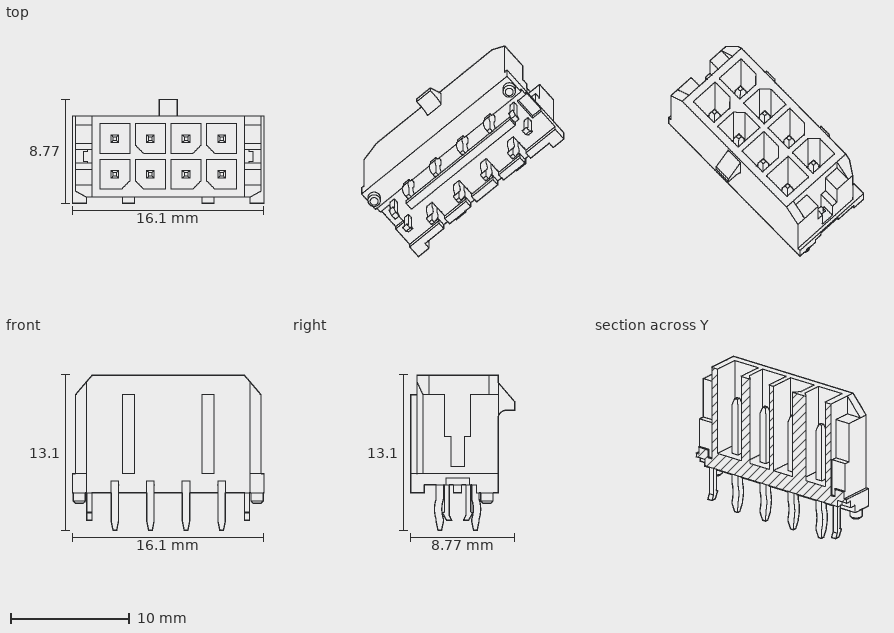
import cadquery as cq


COLUMNS = 4
PITCH = 3.0
COLUMN_X = [(i - (COLUMNS - 1) / 2) * PITCH for i in range(COLUMNS)]
REAR_ROW_Y = PITCH / 2
FRONT_ROW_Y = -PITCH / 2

OVERALL_HEIGHT = 13.09
HOUSING_HEIGHT = 9.92
HOUSING_BACK_Y = 3.43
HOUSING_FRONT_Y = -HOUSING_BACK_Y
HOUSING_HALF_LENGTH = 7.82
SHOULDER_Z = 8.28
TOP_HALF_LENGTH = 6.42
BEVEL_X = 0.93
BEVEL_Y = 0.51

OVERALL_LENGTH = 16.15
FLANGE_HALF_LENGTH = OVERALL_LENGTH / 2
FLANGE_FRONT_Y = -3.95
FLANGE_INNER_X = HOUSING_HALF_LENGTH - BEVEL_X
FLANGE_HEIGHT = 1.61

END_SLOT_STEPS = [
    (-2.40, 2.64, SHOULDER_Z),
    (-1.09, 1.08, 4.77),
    (-0.57, 0.57, 2.24),
]
CLIP_WINDOW_OUTER_X = 7.13
CLIP_WINDOW_STEP_X = 6.79
CLIP_WINDOW_HALF_WIDTH = 0.42
CLIP_WINDOW_DEPTH = 0.7

CAVITY_SIZE = 2.52
CAVITY_FLOOR_Z = 2.2
CAVITY_CHAMFER = 0.70
REAR_KEYS = [0, -1, 1, -1]
FRONT_KEYS = [1, -1, 1, -1]

UNDERCUT_FRONT_Y = -2.80
UNDERCUT_BACK_Y = 1.61
UNDERCUT_HEIGHT = 0.67
CENTRE_RIB_WIDTH = 0.69
TAIL_SLOT_HEIGHT = 0.99

RIB_WIDTH = 1.05
RIB_X = 3.35
RIB_TOP_Z = SHOULDER_Z

LATCH_WIDTH = 1.52
LATCH_TIP_Y = 4.82
LATCH_TOP_Z = 9.30
LATCH_TIP_TOP_Z = 7.68
LATCH_TIP_BOTTOM_Z = 6.96
LATCH_CURVE_START_Y = 4.12
LATCH_CURVE_MID = (3.74, 6.84)
LATCH_ROOT_Z = 6.42

PEG_X = 7.50
PEG_Y = 2.47
PEG_DIAMETER = 1.05
PEG_LENGTH = 0.88
PEG_CHAMFER = 0.19

PIN_SIZE = 0.64
PIN_TOP_Z = 7.2
PIN_TIP_LENGTH = 0.6
PIN_TIP_SIZE = 0.30
TAIL_END_Z = HOUSING_HEIGHT - OVERALL_HEIGHT
TAIL_TAPER_Z = -2.39
TAIL_TIP_SIZE = 0.32
KINK_TOP_Z = -0.52
KINK_BOTTOM_Z = -2.23
KINK_OFFSET = 0.14

CLIP_X = 6.64
CLIP_THICKNESS = 0.46
CLIP_OUTER_Y = 1.12
CLIP_INNER_Y = 0.70
CLIP_BRIDGE_TOP_Z = 1.25
BARB_TOP_Z = -1.60
BARB_OUTER_Y = 1.28
BARB_CORNER_Z = -1.70
BARB_INNER_Z = -1.88
CLIP_END_Z = -2.33
CLIP_END_OUTER_Y = 0.93
CLIP_END_INNER_Y = 0.48
CLIP_RECESS_HALF_WIDTH = 0.99
CLIP_RECESS_INNER_X = 7.13


def box(x0, x1, y0, y1, z0, z1):
    """Box between two opposite corners."""
    return cq.Workplane("XY").box(x1 - x0, y1 - y0, z1 - z0, centered=False).translate((x0, y0, z0))


def both_ends(solid):
    """The solid together with its mirror image about X = 0."""
    return solid.union(solid.mirror("YZ"))


def extruded_in_x(outline, x_centre, width):
    """YZ outline extruded symmetrically about x_centre."""
    return outline.extrude(width / 2, both=True).translate((x_centre, 0, 0))


def square_frustum(x, y, z_base, base_size, z_end, end_size):
    """Square pyramid frustum from z_base to z_end."""
    return (
        cq.Workplane("XY", origin=(x, y, z_base))
        .rect(base_size, base_size)
        .workplane(offset=z_end - z_base)
        .rect(end_size, end_size)
        .loft(ruled=True)
    )


def make_shell():
    """Solid housing block with sloped ends and bevelled front corners."""
    end_profile = (
        cq.Workplane("XZ")
        .moveTo(-HOUSING_HALF_LENGTH, 0)
        .lineTo(HOUSING_HALF_LENGTH, 0)
        .lineTo(HOUSING_HALF_LENGTH, SHOULDER_Z)
        .lineTo(TOP_HALF_LENGTH, HOUSING_HEIGHT)
        .lineTo(-TOP_HALF_LENGTH, HOUSING_HEIGHT)
        .lineTo(-HOUSING_HALF_LENGTH, SHOULDER_Z)
        .close()
        .extrude(HOUSING_BACK_Y, both=True)
    )
    bevel_y = HOUSING_FRONT_Y + BEVEL_Y
    footprint = (
        cq.Workplane("XY")
        .moveTo(-HOUSING_HALF_LENGTH, HOUSING_BACK_Y)
        .lineTo(HOUSING_HALF_LENGTH, HOUSING_BACK_Y)
        .lineTo(HOUSING_HALF_LENGTH, bevel_y)
        .lineTo(HOUSING_HALF_LENGTH - BEVEL_X, HOUSING_FRONT_Y)
        .lineTo(BEVEL_X - HOUSING_HALF_LENGTH, HOUSING_FRONT_Y)
        .lineTo(-HOUSING_HALF_LENGTH, bevel_y)
        .close()
        .extrude(HOUSING_HEIGHT)
    )
    return end_profile.intersect(footprint)


def make_flange():
    return both_ends(
        box(FLANGE_INNER_X, FLANGE_HALF_LENGTH, FLANGE_FRONT_Y, HOUSING_BACK_Y, 0, FLANGE_HEIGHT)
    )


def make_end_slots():
    """Stepped slot in each end wall, with the clip window in its floor."""
    slot = cq.Workplane("XY")
    for front_y, back_y, floor_z in END_SLOT_STEPS:
        slot = slot.union(box(TOP_HALF_LENGTH, FLANGE_HALF_LENGTH, front_y, back_y, floor_z, HOUSING_HEIGHT))
    front_y, back_y, slot_floor_z = END_SLOT_STEPS[-1]
    window_floor_z = slot_floor_z - CLIP_WINDOW_DEPTH
    wide_window = box(TOP_HALF_LENGTH, CLIP_WINDOW_STEP_X, front_y, back_y, window_floor_z, slot_floor_z)
    narrow_window = box(
        TOP_HALF_LENGTH, CLIP_WINDOW_OUTER_X,
        -CLIP_WINDOW_HALF_WIDTH, CLIP_WINDOW_HALF_WIDTH,
        window_floor_z, slot_floor_z,
    )
    return both_ends(slot.union(wide_window).union(narrow_window))


def make_cavity(x, y, key_side):
    """Square contact cavity, with one front corner chamfered when keyed."""
    half = CAVITY_SIZE / 2
    depth = HOUSING_HEIGHT - CAVITY_FLOOR_Z
    cavity = cq.Workplane("XY", origin=(x, y, CAVITY_FLOOR_Z)).rect(CAVITY_SIZE, CAVITY_SIZE).extrude(depth)
    if key_side == 0:
        return cavity
    corner = (
        cq.Workplane("XY", origin=(x + key_side * half, y - half, CAVITY_FLOOR_Z))
        .lineTo(-key_side * CAVITY_CHAMFER, 0)
        .lineTo(0, CAVITY_CHAMFER)
        .close()
        .extrude(depth)
    )
    return cavity.cut(corner)


def make_undercut():
    """Relief under the housing that leaves a central rib standing."""
    undercut = box(
        -FLANGE_HALF_LENGTH, FLANGE_HALF_LENGTH, UNDERCUT_FRONT_Y, UNDERCUT_BACK_Y, 0, UNDERCUT_HEIGHT
    )
    rib_half_length = COLUMN_X[-1] + CAVITY_SIZE / 2
    rib_half_width = CENTRE_RIB_WIDTH / 2
    rib = box(-rib_half_length, rib_half_length, -rib_half_width, rib_half_width, 0, UNDERCUT_HEIGHT)
    return undercut.cut(rib)


def make_tail_slot(x):
    """Slot through the front wall back to the front-row contact."""
    half = PIN_SIZE / 2
    return box(x - half, x + half, HOUSING_FRONT_Y, FRONT_ROW_Y - half, 0, TAIL_SLOT_HEIGHT)


def make_clip_recesses():
    """Openings in the flange ends outside the clip bridges."""
    return both_ends(
        box(
            CLIP_RECESS_INNER_X, FLANGE_HALF_LENGTH,
            -CLIP_RECESS_HALF_WIDTH, CLIP_RECESS_HALF_WIDTH,
            UNDERCUT_HEIGHT, CLIP_BRIDGE_TOP_Z,
        )
    )


def make_front_ribs():
    return both_ends(
        box(
            RIB_X - RIB_WIDTH / 2, RIB_X + RIB_WIDTH / 2,
            FLANGE_FRONT_Y, HOUSING_FRONT_Y,
            FLANGE_HEIGHT, RIB_TOP_Z,
        )
    )


def make_latch():
    """Latch ramp with a hollow curve under its tip."""
    outline = (
        cq.Workplane("YZ")
        .moveTo(HOUSING_BACK_Y, LATCH_TOP_Z)
        .lineTo(LATCH_TIP_Y, LATCH_TIP_TOP_Z)
        .lineTo(LATCH_TIP_Y, LATCH_TIP_BOTTOM_Z)
        .lineTo(LATCH_CURVE_START_Y, LATCH_TIP_BOTTOM_Z)
        .threePointArc(LATCH_CURVE_MID, (HOUSING_BACK_Y, LATCH_ROOT_Z))
        .close()
    )
    return extruded_in_x(outline, 0, LATCH_WIDTH)


def make_pegs():
    peg = (
        cq.Workplane("XY", origin=(PEG_X, PEG_Y, 0))
        .circle(PEG_DIAMETER / 2)
        .extrude(-PEG_LENGTH)
        .faces("<Z")
        .chamfer(PEG_CHAMFER)
    )
    return both_ends(peg)


def make_contact(x, y, kink_side):
    """Square pin with a pointed top and a tail kinked outwards along Y."""
    half = PIN_SIZE / 2
    kink_mid_z = (KINK_TOP_Z + KINK_BOTTOM_Z) / 2
    kink = kink_side * KINK_OFFSET
    tip_base_z = PIN_TOP_Z - PIN_TIP_LENGTH
    outline = (
        cq.Workplane("YZ")
        .moveTo(y - half, tip_base_z)
        .lineTo(y - half, KINK_TOP_Z)
        .threePointArc((y - half + kink, kink_mid_z), (y - half, KINK_BOTTOM_Z))
        .lineTo(y - half, TAIL_TAPER_Z)
        .lineTo(y + half, TAIL_TAPER_Z)
        .lineTo(y + half, KINK_BOTTOM_Z)
        .threePointArc((y + half + kink, kink_mid_z), (y + half, KINK_TOP_Z))
        .lineTo(y + half, tip_base_z)
        .close()
    )
    shank = extruded_in_x(outline, x, PIN_SIZE)
    tip = square_frustum(x, y, tip_base_z, PIN_SIZE, PIN_TOP_Z, PIN_TIP_SIZE)
    tail = square_frustum(x, y, TAIL_TAPER_Z, PIN_SIZE, TAIL_END_Z, TAIL_TIP_SIZE)
    return shank.union(tip).union(tail)


def make_clips():
    """Flat fork clip at each end: a bridge in the housing and two barbed legs."""
    right_half = [
        (CLIP_OUTER_Y, CLIP_BRIDGE_TOP_Z),
        (CLIP_OUTER_Y, BARB_TOP_Z),
        (BARB_OUTER_Y, BARB_CORNER_Z),
        (CLIP_END_OUTER_Y, CLIP_END_Z),
        (CLIP_END_INNER_Y, CLIP_END_Z),
        (CLIP_INNER_Y, BARB_INNER_Z),
        (CLIP_INNER_Y, UNDERCUT_HEIGHT),
    ]
    left_half = [(-y, z) for y, z in reversed(right_half)]
    outline = cq.Workplane("YZ").polyline(right_half + left_half).close()
    return both_ends(extruded_in_x(outline, CLIP_X, CLIP_THICKNESS))


housing = make_shell().union(make_flange())
housing = housing.cut(make_end_slots()).cut(make_undercut()).cut(make_clip_recesses())
for column, column_x in enumerate(COLUMN_X):
    housing = housing.cut(make_cavity(column_x, REAR_ROW_Y, REAR_KEYS[column]))
    housing = housing.cut(make_cavity(column_x, FRONT_ROW_Y, FRONT_KEYS[column]))
    housing = housing.cut(make_tail_slot(column_x))

result = housing.union(make_front_ribs()).union(make_latch()).union(make_pegs()).union(make_clips())
for column_x in COLUMN_X:
    result = result.union(make_contact(column_x, REAR_ROW_Y, 1))
    result = result.union(make_contact(column_x, FRONT_ROW_Y, -1))